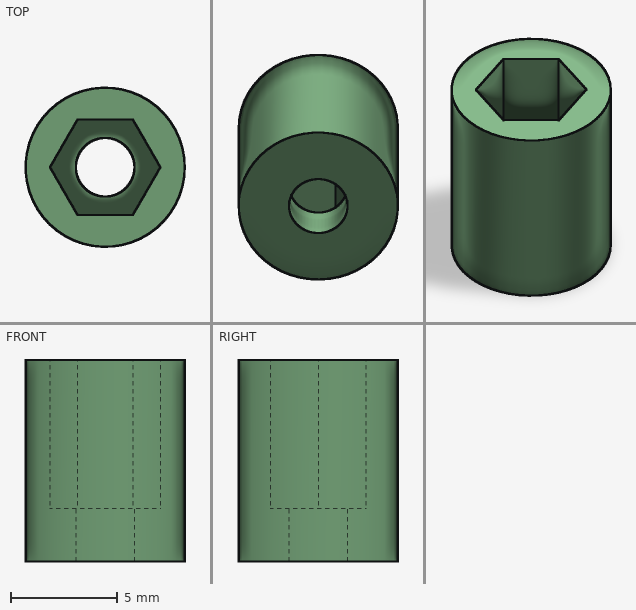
import cadquery as cq
import math

outer_diameter = 7.5
height = 9.5
bore_diameter = 2.75
hex_sides = 6
hex_across_flats = 4.5
floor_thickness = 2.5

hex_across_corners = hex_across_flats / math.cos(math.pi / hex_sides)
socket_depth = height - floor_thickness


def make_body():
    """Plain cylinder standing on the XY plane."""
    return cq.Workplane("XY").circle(outer_diameter / 2).extrude(height)


def cut_hex_socket(body):
    """Blind hexagonal socket from the top face, with corners on the X axis."""
    return body.faces(">Z").workplane().polygon(hex_sides, hex_across_corners).cutBlind(-socket_depth)


def cut_bore(body):
    """Round hole through the socket floor."""
    bore = cq.Workplane("XY").circle(bore_diameter / 2).extrude(height)
    return body.cut(bore)


result = cut_bore(cut_hex_socket(make_body()))